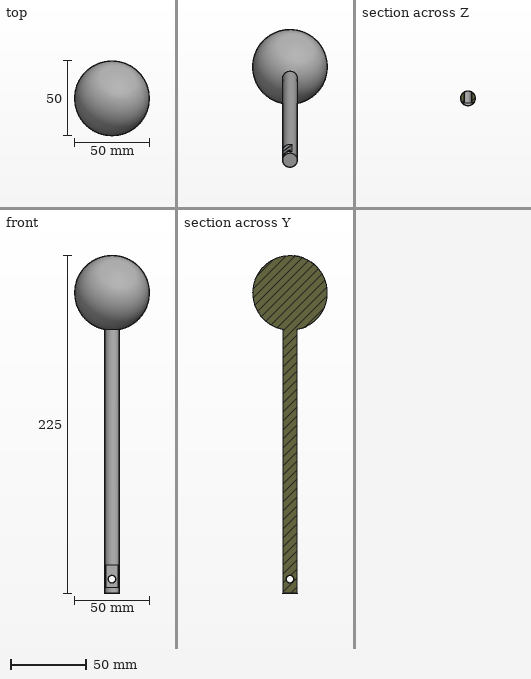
import cadquery as cq

total_height = 225
ball_diameter = 50.0
rod_diameter = 10.0

notch_bottom = 4.0
notch_top = 19.0
notch_depth = 2.0
hole_diameter = 5.0
hole_height = 9.5

ball_center_height = total_height - ball_diameter / 2
rod_radius = rod_diameter / 2

ball = cq.Workplane("XY").sphere(ball_diameter / 2).translate((0, 0, ball_center_height))

rod = cq.Workplane("XY").circle(rod_radius).extrude(ball_center_height)

notch = (
    cq.Workplane("XY")
    .box(2 * rod_diameter, 2 * notch_depth, notch_top - notch_bottom, centered=(True, True, False))
    .translate((0, -rod_radius, notch_bottom))
)

cross_hole = (
    cq.Workplane("XZ")
    .center(0, hole_height)
    .circle(hole_diameter / 2)
    .extrude(rod_diameter, both=True)
)

result = ball.union(rod).cut(notch).cut(cross_hole)